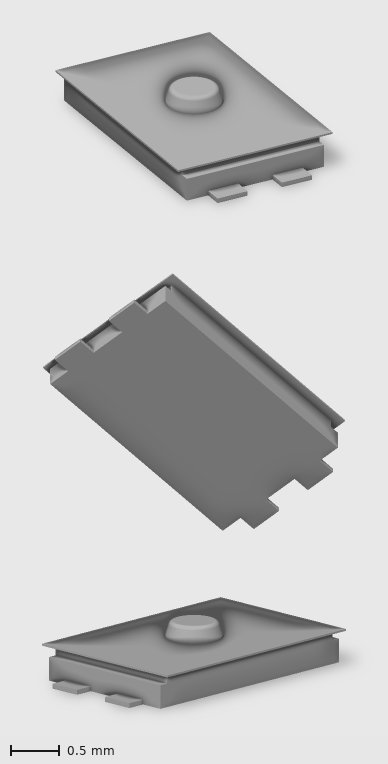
import cadquery as cq


OVERALL_LENGTH = 3.0
OVERALL_HEIGHT = 0.54

HOUSING_LENGTH = 2.6
HOUSING_WIDTH = 1.6
HOUSING_HEIGHT = 0.35
LEDGE_HEIGHT = 0.25
LEDGE_DEPTH = 0.1

COVER_WIDTH = 1.8
COVER_THICKNESS = 0.02

BUTTON_BASE_RADIUS = 0.3
BUTTON_TOP_RADIUS = 0.25
BUTTON_RIM_FILLET = 0.05

TERMINAL_WIDTH = 0.35
TERMINAL_THICKNESS = 0.05
TERMINAL_PITCH = 0.75

COVER_LENGTH = HOUSING_LENGTH
COVER_TOP = HOUSING_HEIGHT + COVER_THICKNESS
TERMINAL_LENGTH = (OVERALL_LENGTH - HOUSING_LENGTH) / 2
TERMINAL_X = (HOUSING_LENGTH + TERMINAL_LENGTH) / 2
TERMINAL_Y = TERMINAL_PITCH / 2


def block(length, width, height, base_z, x=0.0, y=0.0):
    """Box centred on (x, y) that stands on the level base_z."""
    box = cq.Workplane("XY").box(length, width, height, centered=(True, True, False))
    return box.translate((x, y, base_z))


def make_housing():
    """Full-length lower block with a shorter upper block, leaving a ledge at each end."""
    lower = block(HOUSING_LENGTH, HOUSING_WIDTH, LEDGE_HEIGHT, 0.0)
    upper_length = HOUSING_LENGTH - 2 * LEDGE_DEPTH
    upper = block(upper_length, HOUSING_WIDTH, HOUSING_HEIGHT - LEDGE_HEIGHT, LEDGE_HEIGHT)
    return lower.union(upper)


def make_cover():
    """Thin sheet on the housing, overhanging it along both long sides."""
    return block(COVER_LENGTH, COVER_WIDTH, COVER_THICKNESS, HOUSING_HEIGHT)


def make_button():
    """Truncated cone on the cover with a rounded top rim."""
    cone = (
        cq.Workplane("XZ")
        .moveTo(0, COVER_TOP)
        .lineTo(BUTTON_BASE_RADIUS, COVER_TOP)
        .lineTo(BUTTON_TOP_RADIUS, OVERALL_HEIGHT)
        .lineTo(0, OVERALL_HEIGHT)
        .close()
        .revolve(360, (0, 0), (0, 1))
    )
    return cone.faces(">Z").edges().fillet(BUTTON_RIM_FILLET)


def make_terminal(x_side, y_side):
    """Flat terminal butted against one end of the housing, flush with its underside."""
    return block(
        TERMINAL_LENGTH, TERMINAL_WIDTH, TERMINAL_THICKNESS, 0.0, x_side * TERMINAL_X, y_side * TERMINAL_Y
    )


housing = make_housing()
cover = make_cover()
button = make_button()
terminals = [make_terminal(x_side, y_side).val() for x_side in (-1, 1) for y_side in (-1, 1)]

result = cq.Compound.makeCompound([housing.val(), cover.val(), button.val(), *terminals])